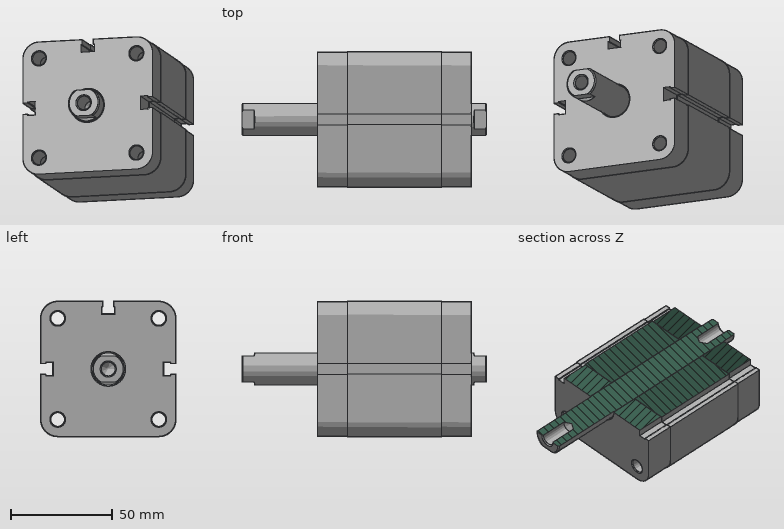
import cadquery as cq
import math

total_length = 121.0
rod_reach = 37.4
cap_length = 14.9
barrel_length = 46.3

barrel_size = 67.0
cap_size = 66.5
bolt_spacing = 50.0
bolt_hole_diameter = 6.8
bolt_hole_chamfer = 0.5

slot_side_angles = (0, 90, -90)
cap_slot_mouth_width = 5.6
cap_slot_width = 6.8
cap_slot_depth = 6.3
barrel_slot_mouth_width = 5.2
barrel_slot_width = 6.3
barrel_slot_depth = 6.0
slot_lip_thickness = 2.5

rod_diameter = 16.0
rod_chamfer = 0.6
flat_spacing = 13.0
flat_floor_length = 6.0
flat_total_length = 6.4
thread_diameter = 6.8
thread_chamfer = 0.6
thread_depth = 14.5
drill_point_angle = 118.0
bore_chamfer = 0.6

rod_start = -total_length / 2
front_cap_start = rod_start + rod_reach
barrel_start = front_cap_start + cap_length
rear_cap_start = barrel_start + barrel_length
rear_cap_end = rear_cap_start + cap_length


def section_plane(x):
    """Plane across the axis at x, with its normal along +X."""
    return cq.Workplane("YZ", origin=(x, 0, 0))


def slot_cutter(x, length, size, mouth_width, width, depth):
    """T-slot cut from the +Z face of a square section of the given size."""
    face = size / 2
    mouth = section_plane(x).center(0, face - depth / 2).rect(mouth_width, depth).extrude(length)
    floor_height = depth - slot_lip_thickness
    floor_centre = face - depth + floor_height / 2
    floor = section_plane(x).center(0, floor_centre).rect(width, floor_height).extrude(length)
    return mouth.union(floor)


def slotted_block(x, length, size, mouth_width, width, depth):
    """Rounded square block with bolt holes, a rod bore and T-slots."""
    block = section_plane(x).rect(size, size).extrude(length)
    block = block.edges("|X").fillet((size - bolt_spacing) / 2)
    bolt_holes = (
        section_plane(x)
        .rect(bolt_spacing, bolt_spacing, forConstruction=True)
        .vertices()
        .circle(bolt_hole_diameter / 2)
        .extrude(length)
    )
    rod_bore = section_plane(x).circle(rod_diameter / 2).extrude(length)
    block = block.cut(bolt_holes).cut(rod_bore)
    slot = slot_cutter(x, length, size, mouth_width, width, depth)
    for angle in slot_side_angles:
        block = block.cut(slot.rotate((0, 0, 0), (1, 0, 0), angle))
    return block


def mouth_cone(x, inward, y, z, radius, chamfer):
    """Cone that chamfers a hole mouth at x; inward is +1 or -1 along X."""
    return cq.Workplane(
        cq.Solid.makeCone(radius + chamfer, radius, chamfer, cq.Vector(x, y, z), cq.Vector(inward, 0, 0))
    )


def make_cap(start, outer_x, inward):
    """End cap whose outer face lies at outer_x, with chamfered hole mouths there."""
    cap = slotted_block(
        start, cap_length, cap_size, cap_slot_mouth_width, cap_slot_width, cap_slot_depth
    )
    cap = cap.cut(mouth_cone(outer_x, inward, 0, 0, rod_diameter / 2, bore_chamfer))
    offset = bolt_spacing / 2
    for y in (-offset, offset):
        for z in (-offset, offset):
            cap = cap.cut(mouth_cone(outer_x, inward, y, z, bolt_hole_diameter / 2, bolt_hole_chamfer))
    return cap


def make_barrel():
    """Cylinder barrel, slightly larger than the caps."""
    return slotted_block(
        barrel_start,
        barrel_length,
        barrel_size,
        barrel_slot_mouth_width,
        barrel_slot_width,
        barrel_slot_depth,
    )


def threaded_hole():
    """Blind hole with a drill point and chamfered mouth in the -X rod end."""
    radius = thread_diameter / 2
    point_length = radius / math.tan(math.radians(drill_point_angle / 2))
    bottom = rod_start + thread_depth
    return (
        cq.Workplane("XY")
        .moveTo(rod_start, 0)
        .lineTo(rod_start, radius + thread_chamfer)
        .lineTo(rod_start + thread_chamfer, radius)
        .lineTo(bottom, radius)
        .lineTo(bottom + point_length, 0)
        .close()
        .revolve(360, (0, 0, 0), (1, 0, 0))
    )


def wrench_flat():
    """Cutter for the upper flat at the -X rod end, with a sloped end wall."""
    floor = flat_spacing / 2
    top = rod_diameter / 2
    return (
        cq.Workplane("XZ")
        .moveTo(rod_start, floor)
        .lineTo(rod_start + flat_floor_length, floor)
        .lineTo(rod_start + flat_total_length, top)
        .lineTo(rod_start, top)
        .close()
        .extrude(rod_diameter / 2, both=True)
    )


def make_rod():
    """Through rod with wrench flats and a threaded hole at each end."""
    rod = section_plane(rod_start).circle(rod_diameter / 2).extrude(total_length)
    rod = rod.edges("%CIRCLE").chamfer(rod_chamfer)
    upper_flat = wrench_flat()
    for cutter in (threaded_hole(), upper_flat, upper_flat.mirror("XY")):
        rod = rod.cut(cutter).cut(cutter.mirror("YZ"))
    return rod


front_cap = make_cap(front_cap_start, front_cap_start, 1)
barrel = make_barrel()
rear_cap = make_cap(rear_cap_start, rear_cap_end, -1)
rod = make_rod()

result = cq.Compound.makeCompound([front_cap.val(), barrel.val(), rear_cap.val(), rod.val()])